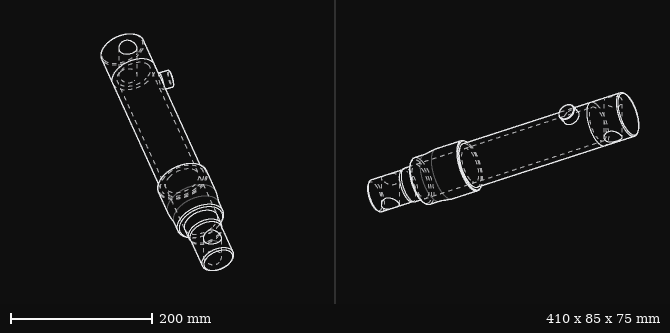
import cadquery as cq

TOTAL_LENGTH = 410.0
OVERALL_WIDTH = 85.0

TUBE_DIAMETER = 65.0
BASE_LENGTH = 49.5
BASE_CHAMFER = 1.5
TUBE_END_X = 256.0

GLAND_DIAMETER = 75.0
GLAND_NOSE_DIAMETER = 70.0
GLAND_BODY_LENGTH = 42.2
GLAND_TAPER_LENGTH = 19.5
GLAND_NOSE_LENGTH = 18.5
GLAND_REAR_CHAMFER = 1.2
GLAND_FRONT_CHAMFER = 2.5

ROD_DIAMETER = 50.5
ROD_END_DIAMETER = 48.0
ROD_SHOULDER_X = 353.5
ROD_SHOULDER_LENGTH = 3.5
ROD_CHAMFER = 2.5

PIN_HOLE_DIAMETER = 25.5
PIN_HOLE_INSET = 25.0

PORT_DIAMETER = 25.0
PORT_X = 74.5
PORT_TOP_Y = OVERALL_WIDTH - GLAND_DIAMETER / 2
PORT_CHAMFER = 1.0


def cylinder_x(diameter, start_x, end_x):
    """Solid cylinder on the X axis."""
    return cq.Workplane("YZ", origin=(start_x, 0, 0)).circle(diameter / 2).extrude(end_x - start_x)


def pin_hole(center_x):
    """Cutter for a vertical mounting hole, longer than any diameter it passes through."""
    return (
        cq.Workplane("XY", origin=(center_x, 0, 0))
        .circle(PIN_HOLE_DIAMETER / 2)
        .extrude(GLAND_DIAMETER, both=True)
    )


def make_base():
    """Solid closed end of the cylinder with its mounting hole."""
    base = cylinder_x(TUBE_DIAMETER, 0, BASE_LENGTH).faces("<X").chamfer(BASE_CHAMFER)
    return base.cut(pin_hole(PIN_HOLE_INSET))


def make_tube():
    """Barrel between base and gland, bored to fit the rod."""
    tube = cylinder_x(TUBE_DIAMETER, BASE_LENGTH, TUBE_END_X)
    return tube.cut(cylinder_x(ROD_DIAMETER, BASE_LENGTH, TUBE_END_X))


def make_gland():
    """Revolved head with a smooth taper to its nose, bored to fit the rod."""
    body_radius = GLAND_DIAMETER / 2
    nose_radius = GLAND_NOSE_DIAMETER / 2
    bore_radius = ROD_DIAMETER / 2
    taper_start_x = TUBE_END_X + GLAND_BODY_LENGTH
    taper_end_x = taper_start_x + GLAND_TAPER_LENGTH
    front_x = taper_end_x + GLAND_NOSE_LENGTH
    along_axis = (1, 0)
    return (
        cq.Workplane("XY")
        .moveTo(TUBE_END_X, bore_radius)
        .lineTo(TUBE_END_X, body_radius - GLAND_REAR_CHAMFER)
        .lineTo(TUBE_END_X + GLAND_REAR_CHAMFER, body_radius)
        .lineTo(taper_start_x, body_radius)
        .spline([(taper_end_x, nose_radius)], tangents=[along_axis, along_axis], includeCurrent=True)
        .lineTo(front_x - GLAND_FRONT_CHAMFER, nose_radius)
        .lineTo(front_x, nose_radius - GLAND_FRONT_CHAMFER)
        .lineTo(front_x, bore_radius)
        .close()
        .revolve(360, (0, 0, 0), (1, 0, 0))
    )


def make_rod():
    """Ram from the base out through the gland, with a reduced and drilled outer end."""
    rod_radius = ROD_DIAMETER / 2
    end_radius = ROD_END_DIAMETER / 2
    rod = (
        cq.Workplane("XY")
        .moveTo(BASE_LENGTH, 0)
        .lineTo(BASE_LENGTH, rod_radius)
        .lineTo(ROD_SHOULDER_X, rod_radius)
        .lineTo(ROD_SHOULDER_X + ROD_SHOULDER_LENGTH, end_radius)
        .lineTo(TOTAL_LENGTH - ROD_CHAMFER, end_radius)
        .lineTo(TOTAL_LENGTH, end_radius - ROD_CHAMFER)
        .lineTo(TOTAL_LENGTH, 0)
        .close()
        .revolve(360, (0, 0, 0), (1, 0, 0))
    )
    return rod.cut(pin_hole(TOTAL_LENGTH - PIN_HOLE_INSET))


def make_port():
    """Round boss with a flat inner end that rests on the side of the tube."""
    return (
        cq.Workplane("XZ", origin=(PORT_X, PORT_TOP_Y, 0))
        .circle(PORT_DIAMETER / 2)
        .extrude(PORT_TOP_Y - TUBE_DIAMETER / 2)
        .faces(">Y")
        .chamfer(PORT_CHAMFER)
    )


base = make_base()
tube = make_tube()
gland = make_gland()
rod = make_rod()
port = make_port()

result = cq.Compound.makeCompound([base.val(), tube.val(), gland.val(), rod.val(), port.val()])